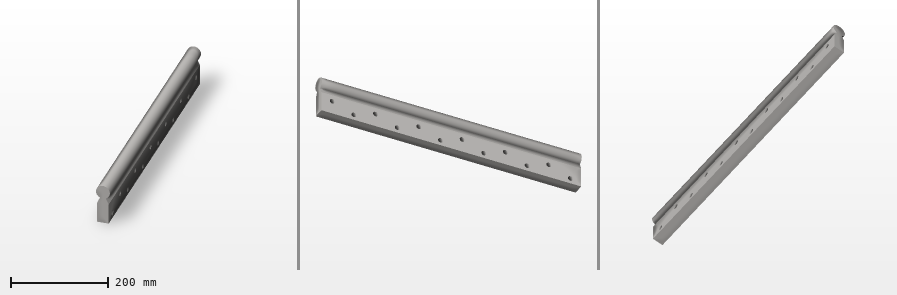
import cadquery as cq
import math

LENGTH = 600.0
ROD_RADIUS = 15.0
ROD_CENTER_Z = 72.0

WEB_WIDTH = 25.0
SHOULDER_Z = 45.2
NECK_Z = 58.4

HOLE_DIAMETER = 11.0
HOLE_COUNT = 12
HOLE_PITCH = LENGTH / HOLE_COUNT
LOWER_ROW_Z = 12.0
UPPER_ROW_Z = 30.0


def make_rail():
    """Extrude the section: a round rod standing on a web with tapered shoulders."""
    half_web = WEB_WIDTH / 2
    half_neck = math.sqrt(ROD_RADIUS**2 - (ROD_CENTER_Z - NECK_Z) ** 2)
    rod_top = (0, ROD_CENTER_Z + ROD_RADIUS)
    section = (
        cq.Workplane("XZ")
        .moveTo(-half_web, 0)
        .lineTo(half_web, 0)
        .lineTo(half_web, SHOULDER_Z)
        .lineTo(half_neck, NECK_Z)
        .threePointArc(rod_top, (-half_neck, NECK_Z))
        .lineTo(-half_web, SHOULDER_Z)
        .close()
    )
    return section.extrude(LENGTH / 2, both=True)


def make_holes():
    """Through drills across the web; the +Y end starts in the upper row."""
    first_y = (LENGTH - HOLE_PITCH) / 2
    centers = []
    for index in range(HOLE_COUNT):
        row_z = UPPER_ROW_Z if index % 2 == 0 else LOWER_ROW_Z
        centers.append((first_y - index * HOLE_PITCH, row_z))
    drills = cq.Workplane("YZ").pushPoints(centers).circle(HOLE_DIAMETER / 2)
    return drills.extrude(WEB_WIDTH, both=True)


result = make_rail().cut(make_holes())